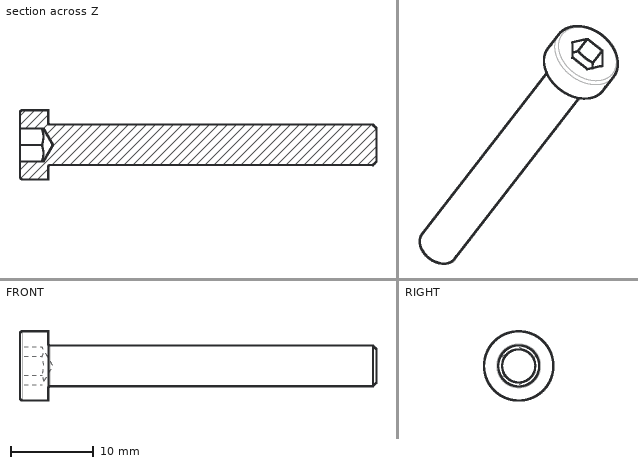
import cadquery as cq
import math

total_length = 43.5
head_diameter = 8.5
head_height = 3.5
head_edge_fillet = 0.35
shank_diameter = 5.0
tip_chamfer = 0.5
under_head_fillet = 0.17

socket_across_flats = 4.0
socket_depth = 2.7
socket_cone_angle = 120

tolerance = 0.005


def make_head():
    head = cq.Workplane("YZ").circle(head_diameter / 2).extrude(head_height)
    return head.faces("<X").edges().fillet(head_edge_fillet)


def make_shank():
    shank = cq.Workplane("YZ").circle(shank_diameter / 2).extrude(total_length)
    return shank.faces(">X").edges().chamfer(tip_chamfer)


def make_socket():
    """Hexagon with corners toward +Z and -Z, whose bottom is a cone reaching out to the corners."""
    corner_radius = socket_across_flats / 2 / math.cos(math.pi / 6)
    cone_height = corner_radius / math.tan(math.radians(socket_cone_angle / 2))
    tip_depth = socket_depth + cone_height
    prism = (
        cq.Workplane("YZ")
        .transformed(rotate=(0, 0, 90))
        .polygon(6, 2 * corner_radius)
        .extrude(tip_depth)
    )
    pointed_bore = (
        cq.Workplane("XY")
        .polyline([(0, 0), (tip_depth, 0), (socket_depth, corner_radius), (0, corner_radius)])
        .close()
        .revolve(360, (0, 0, 0), (1, 0, 0))
    )
    return prism.intersect(pointed_bore)


def is_under_head_corner(edge):
    """True for the circle where the shank meets the underside of the head."""
    at_head = abs(edge.Center().x - head_height) < tolerance
    return at_head and edge.geomType() == "CIRCLE" and edge.radius() < head_diameter / 2 - tolerance


body = make_head().union(make_shank())
under_head_corner = [edge for edge in body.edges().vals() if is_under_head_corner(edge)]
body = body.newObject(under_head_corner).fillet(under_head_fillet)
result = body.cut(make_socket())